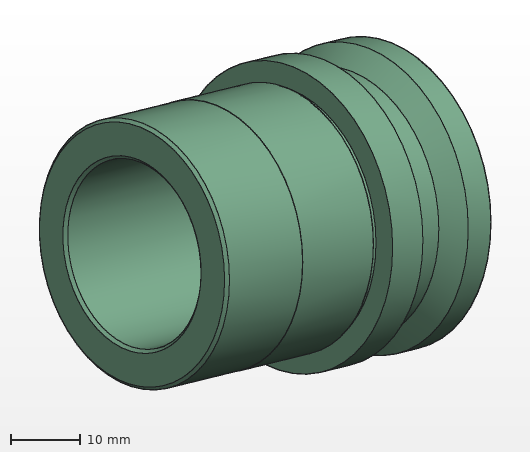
import cadquery as cq

front_length = 15.0
seat_length = 14.0
relief_width = 1.0
collar_width = 6.0
neck_width = 6.0
cone_length = 3.0
flange_width = 5.0

flange_diameter = 46.0
seat_diameter = 40.0
front_diameter = 39.9
relief_diameter = 39.0
bore_diameter = 28.0

front_chamfer = 0.5
flange_chamfer = 0.5
seat_chamfer = 0.5
bore_chamfer = 0.5

seat_start = front_length
relief_start = seat_start + seat_length
collar_start = relief_start + relief_width
neck_start = collar_start + collar_width
cone_start = neck_start + neck_width
flange_start = cone_start + cone_length
back_end = flange_start + flange_width

flange_radius = flange_diameter / 2
seat_radius = seat_diameter / 2
front_radius = front_diameter / 2
relief_radius = relief_diameter / 2
bore_radius = bore_diameter / 2

half_section = [
    (bore_radius + bore_chamfer, 0),
    (front_radius - front_chamfer, 0),
    (front_radius, front_chamfer),
    (front_radius, seat_start),
    (seat_radius, seat_start),
    (seat_radius, relief_start),
    (relief_radius, relief_start + seat_chamfer),
    (relief_radius, collar_start),
    (flange_radius, collar_start),
    (flange_radius, neck_start),
    (seat_radius, neck_start),
    (seat_radius, cone_start),
    (flange_radius, flange_start),
    (flange_radius, back_end - flange_chamfer),
    (flange_radius - flange_chamfer, back_end),
    (bore_radius + bore_chamfer, back_end),
    (bore_radius, back_end - bore_chamfer),
    (bore_radius, bore_chamfer),
]

result = cq.Workplane("XY").polyline(half_section).close().revolve(360, (0, 0, 0), (0, 1, 0))